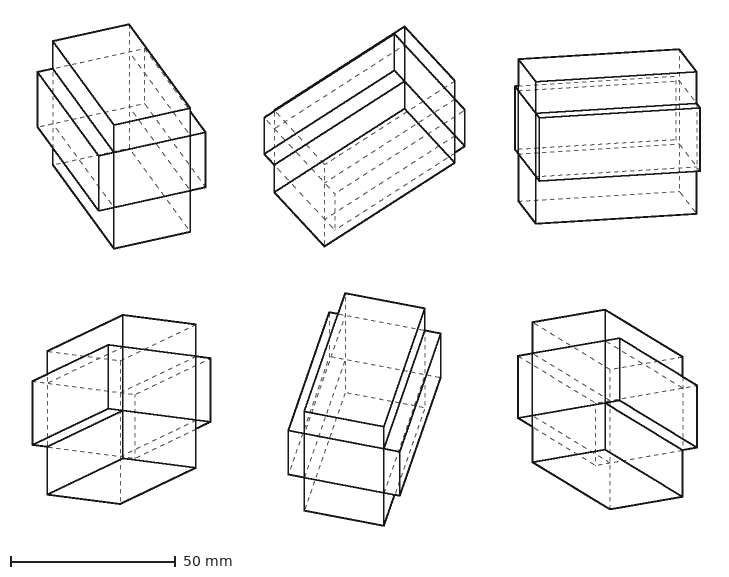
import cadquery as cq

length = 50
core_width = 25
core_height = 20
top_height = 10
bottom_height = 15
side_thickness = 5

side_offset = (core_width + side_thickness) / 2


def make_core():
    """Central block, centred on the origin."""
    return cq.Workplane("XY").box(length, core_width, core_height)


def make_top_block():
    """Block resting on the core's upper face."""
    block = cq.Workplane("XY").box(length, core_width, top_height)
    return block.translate((0, 0, (core_height + top_height) / 2))


def make_bottom_block():
    """Block under the core's lower face."""
    block = cq.Workplane("XY").box(length, core_width, bottom_height)
    return block.translate((0, 0, -(core_height + bottom_height) / 2))


def make_side_plate(y_center):
    """Plate as tall as the core, lying against one of its Y faces."""
    plate = cq.Workplane("XY").box(length, side_thickness, core_height)
    return plate.translate((0, y_center, 0))


core = make_core()
top_block = make_top_block()
bottom_block = make_bottom_block()
side_plates = [make_side_plate(side * side_offset) for side in (-1, 1)]

result = cq.Compound.makeCompound([
    core.val(),
    top_block.val(),
    bottom_block.val(),
    *[plate.val() for plate in side_plates],
])